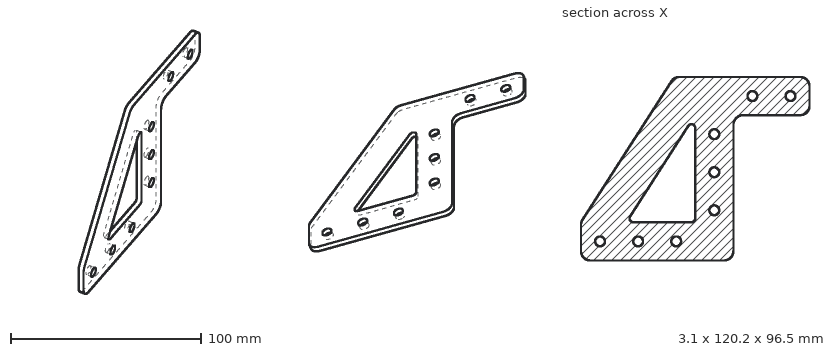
import cadquery as cq
import math

length = 120.2
height = 96.5
thickness = 3.1
edge_margin = 10.1
hole_diameter = 5.0
outer_radius = 5.0
window_radius = 1.9
top_edge_length = 71.2

strip_width = 2 * edge_margin
hole_pitch = (length - strip_width) / 5
column_edge = 2 * hole_pitch
column_inside = column_edge + strip_width
arm_underside = height - strip_width


def plate(points):
    """Extrude an outline of (across, up) points through the plate thickness."""
    outline = [(length / 2 - across, up - height / 2) for across, up in points]
    return (
        cq.Workplane("YZ")
        .polyline(outline)
        .close()
        .extrude(thickness / 2, both=True)
    )


body = plate([
    (0, height),
    (top_edge_length, height),
    (length, strip_width),
    (length, 0),
    (column_edge, 0),
    (column_edge, arm_underside),
    (0, arm_underside),
]).edges("|X").fillet(outer_radius)

slope_run = length - top_edge_length
slope_rise = height - strip_width
slope_offset = strip_width * math.hypot(slope_run, slope_rise) / slope_rise
window_right = length - slope_offset
window_top = strip_width + (window_right - column_inside) * slope_rise / slope_run
window = plate([
    (column_inside, strip_width),
    (column_inside, window_top),
    (window_right, strip_width),
]).edges("|X").fillet(window_radius)

arm_row = height - edge_margin
arm_holes = [(edge_margin + i * hole_pitch, arm_row) for i in range(2)]
column_holes = [
    (edge_margin + 2 * hole_pitch, arm_row - i * hole_pitch) for i in range(1, 4)
]
foot_holes = [(edge_margin + i * hole_pitch, edge_margin) for i in range(3, 6)]
hole_centres = [
    (length / 2 - across, up - height / 2)
    for across, up in arm_holes + column_holes + foot_holes
]
holes = (
    cq.Workplane("YZ")
    .pushPoints(hole_centres)
    .circle(hole_diameter / 2)
    .extrude(thickness, both=True)
)

result = body.cut(window).cut(holes)